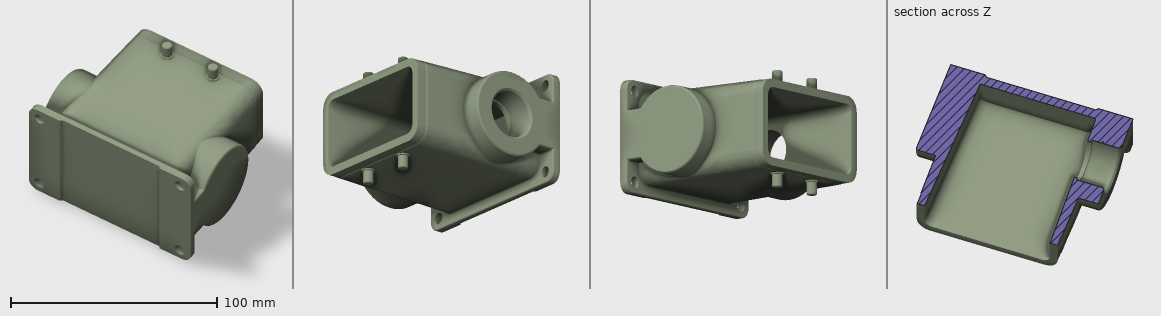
import cadquery as cq
PLATE_LENGTH = 94.0
PLATE_HEIGHT = 56.0
PLATE_THICKNESS = 4.2
PLATE_CORNER_RADIUS = 5.0
PLATE_EDGE_FILLET = 0.7
HOLE_DIAMETER = 5.6
HOLE_SPACING_X = 81.7
HOLE_SPACING_Z = 44.8

RELIEF_DEPTH = 1.1
RELIEF_MOUTH_LENGTH = 58.2
RELIEF_FLOOR_LENGTH = 56.0

HOUSING_BASE_LENGTH = 74.9
HOUSING_BASE_HEIGHT = 45.4
HOUSING_DRAFT = 1.0
HOUSING_CORNER_RADIUS = 7.6
HOUSING_TOP_Y = 74.9
ROOT_FILLET = 0.7
SHOULDER_RISE = 0.7
COLLAR_INSET = 0.3
COLLAR_CORNER_RADIUS = 7.0
TOTAL_DEPTH = 80.38

RIM_WALL = 4.0
CAVITY_FLOOR_Y = 6.0
CAVITY_DRAFT = 2.5
CAVITY_CORNER_RADIUS = 4.0

BOSS_RADIUS = 21.6
BOSS_CENTRE_Y = 30.0
BOSS_RIM_FILLET = 1.0
BOSS_ROOT_X = 30.0
WEB_HEIGHT = 24.6
BORE_RADIUS = 11.8
BORE_CHAMFER = 1.0
BORE_DEPTH = 14.5
THROAT_RADIUS = 10.6

PIN_DIAMETER = 5.0
PIN_SPACING = 26.6
PIN_Y = 70.8
PIN_SPAN = 57.51
PIN_TIP_CHAMFER = 0.4
PIN_SEAT_DIAMETER = 6.6
PIN_SEAT_SPAN = 44.8
PIN_ROOT_Z = 20.0

SELECTION_MARGIN = 0.1

HALF_LENGTH = PLATE_LENGTH / 2
HOUSING_TOP_LENGTH = HOUSING_BASE_LENGTH - 2 * HOUSING_DRAFT
HOUSING_TOP_HEIGHT = HOUSING_BASE_HEIGHT - 2 * HOUSING_DRAFT
COLLAR_LENGTH = HOUSING_TOP_LENGTH - 2 * COLLAR_INSET
COLLAR_HEIGHT = HOUSING_TOP_HEIGHT - 2 * COLLAR_INSET


def tapered_block(first, second):
    """Straight-sided solid between two rounded (length, height, radius, y) sections."""
    length, height, radius, start_y = first
    end_length, end_height, end_radius, end_y = second
    start = cq.Sketch().rect(length, height).vertices().fillet(radius)
    end = cq.Sketch().rect(end_length, end_height).vertices().fillet(end_radius)
    end = end.moved(cq.Location(cq.Vector(0, 0, start_y - end_y)))
    return cq.Workplane("XZ", origin=(0, start_y, 0)).placeSketch(start, end).loft(ruled=True)


def make_plate():
    plate = (
        cq.Workplane("XZ")
        .rect(PLATE_LENGTH, PLATE_HEIGHT)
        .extrude(-PLATE_THICKNESS)
        .edges("|Y")
        .fillet(PLATE_CORNER_RADIUS)
        .faces(">Y")
        .edges()
        .fillet(PLATE_EDGE_FILLET)
    )
    relief = (
        cq.Workplane("XY")
        .moveTo(-RELIEF_MOUTH_LENGTH / 2, 0)
        .lineTo(-RELIEF_FLOOR_LENGTH / 2, RELIEF_DEPTH)
        .lineTo(RELIEF_FLOOR_LENGTH / 2, RELIEF_DEPTH)
        .lineTo(RELIEF_MOUTH_LENGTH / 2, 0)
        .close()
        .extrude(PLATE_HEIGHT / 2, both=True)
    )
    return plate.cut(relief)


def make_housing():
    shoulder_y = HOUSING_TOP_Y - SHOULDER_RISE
    base = (HOUSING_BASE_LENGTH, HOUSING_BASE_HEIGHT, HOUSING_CORNER_RADIUS, PLATE_THICKNESS)
    shoulder = (HOUSING_TOP_LENGTH, HOUSING_TOP_HEIGHT, HOUSING_CORNER_RADIUS, shoulder_y)
    collar_root = (COLLAR_LENGTH, COLLAR_HEIGHT, COLLAR_CORNER_RADIUS, HOUSING_TOP_Y)
    collar_top = (COLLAR_LENGTH, COLLAR_HEIGHT, COLLAR_CORNER_RADIUS, TOTAL_DEPTH)
    housing = tapered_block(base, shoulder)
    housing = housing.union(tapered_block(shoulder, collar_root))
    return housing.union(tapered_block(collar_root, collar_top))


def join_plate_and_housing(plate, housing):
    """Unite the two and round the corner where the housing meets the plate."""
    joined = plate.union(housing)
    half_length = HOUSING_BASE_LENGTH / 2 + SELECTION_MARGIN
    half_height = HOUSING_BASE_HEIGHT / 2 + SELECTION_MARGIN
    root = cq.selectors.BoxSelector(
        (-half_length, PLATE_THICKNESS - SELECTION_MARGIN, -half_height),
        (half_length, PLATE_THICKNESS + SELECTION_MARGIN, half_height),
        boundingbox=True,
    )
    return joined.edges(root).fillet(ROOT_FILLET)


def make_web_root(side):
    """Concave rounding between the plate and both flanks of one web."""
    flank = WEB_HEIGHT / 2
    crest_y = PLATE_THICKNESS + ROOT_FILLET
    length = HALF_LENGTH - BOSS_RIM_FILLET - BOSS_ROOT_X
    upper = (
        cq.Workplane("YZ", origin=(side * BOSS_ROOT_X, 0, 0))
        .moveTo(PLATE_THICKNESS, flank)
        .lineTo(crest_y, flank)
        .radiusArc((PLATE_THICKNESS, flank + ROOT_FILLET), ROOT_FILLET)
        .close()
        .extrude(side * length)
    )
    return upper.union(upper.mirror("XY"))


def make_boss(side):
    """Boss and web at the +X (side = 1) or -X (side = -1) end."""
    length = HALF_LENGTH - BOSS_ROOT_X
    start = cq.Workplane("YZ", origin=(side * BOSS_ROOT_X, 0, 0))
    barrel = start.center(BOSS_CENTRE_Y, 0).circle(BOSS_RADIUS).extrude(side * length)
    web = start.center(BOSS_CENTRE_Y / 2, 0).rect(BOSS_CENTRE_Y, WEB_HEIGHT).extrude(side * length)
    rim = ">X" if side > 0 else "<X"
    boss = barrel.union(web).faces(rim).edges("not(<Y)").fillet(BOSS_RIM_FILLET)
    return boss.union(make_web_root(side))


def make_cavity():
    mouth_length = COLLAR_LENGTH - 2 * RIM_WALL
    mouth_height = COLLAR_HEIGHT - 2 * RIM_WALL
    mouth = (mouth_length, mouth_height, CAVITY_CORNER_RADIUS, TOTAL_DEPTH)
    floor = (
        mouth_length - 2 * CAVITY_DRAFT,
        mouth_height - 2 * CAVITY_DRAFT,
        CAVITY_CORNER_RADIUS,
        CAVITY_FLOOR_Y,
    )
    return tapered_block(floor, mouth)


def make_cable_entry():
    """Stepped bore through the -X boss into the cavity."""
    face = cq.Workplane("YZ", origin=(-HALF_LENGTH, BOSS_CENTRE_Y, 0))
    bore = face.circle(BORE_RADIUS).extrude(BORE_DEPTH)
    throat = face.circle(THROAT_RADIUS).extrude(HALF_LENGTH)
    mouth = cq.Workplane(
        cq.Solid.makeCone(
            BORE_RADIUS + BORE_CHAMFER,
            BORE_RADIUS,
            BORE_CHAMFER,
            cq.Vector(-HALF_LENGTH, BOSS_CENTRE_Y, 0),
            cq.Vector(1, 0, 0),
        )
    )
    return bore.union(throat).union(mouth)


def make_pin(x, side):
    """Locking pin on its round seat, pointing to +Z (side = 1) or -Z (side = -1)."""
    root = cq.Workplane("XY", origin=(x, PIN_Y, side * PIN_ROOT_Z))
    tip = ">Z" if side > 0 else "<Z"
    pin = root.circle(PIN_DIAMETER / 2).extrude(side * (PIN_SPAN / 2 - PIN_ROOT_Z))
    pin = pin.faces(tip).chamfer(PIN_TIP_CHAMFER)
    seat = root.circle(PIN_SEAT_DIAMETER / 2).extrude(side * (PIN_SEAT_SPAN / 2 - PIN_ROOT_Z))
    return pin.union(seat)


def make_mounting_holes():
    return (
        cq.Workplane("XZ")
        .rect(HOLE_SPACING_X, HOLE_SPACING_Z, forConstruction=True)
        .vertices()
        .circle(HOLE_DIAMETER / 2)
        .extrude(-PLATE_THICKNESS)
    )


body = join_plate_and_housing(make_plate(), make_housing())
for side in (-1, 1):
    body = body.union(make_boss(side))
    for x in (-PIN_SPACING / 2, PIN_SPACING / 2):
        body = body.union(make_pin(x, side))

result = body.cut(make_cavity()).cut(make_cable_entry()).cut(make_mounting_holes())